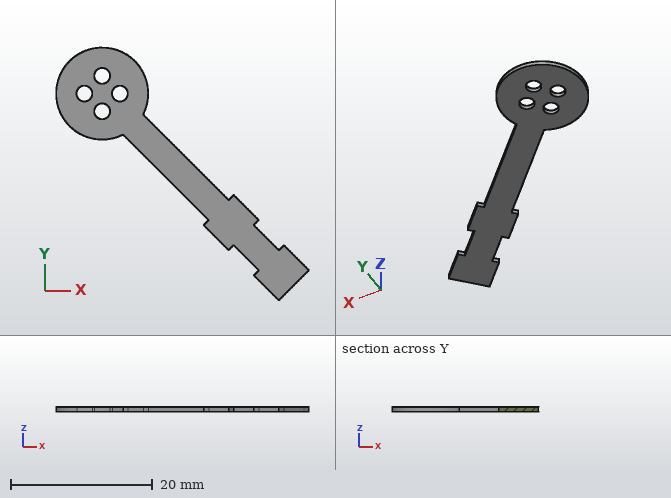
import cadquery as cq
import math

thickness = 0.7
head_diameter = 13.0
head_radius = head_diameter / 2

hole_diameter = 2.2
hole_circle_radius = 2.5
hole_count = 4
first_hole_angle = 45.0

arm_width = 4.0
arm_length = 32.0
arm_angle = -45.0
pad_width = 6.0
pad_length = 5.0
pad_gap = 5.0
tip_setback = 0.003

arm_half = arm_width / 2
pad_half = pad_width / 2
arm_start = math.sqrt(head_radius**2 - arm_half**2)
tip = arm_start + arm_length
tip_pad_start = tip - pad_length
inner_pad_end = tip_pad_start - pad_gap
inner_pad_start = inner_pad_end - pad_length


def make_plate():
    """Head and arm as one outline, with the arm lying along +X."""
    upper_side = [
        (inner_pad_start, arm_half),
        (inner_pad_start, pad_half),
        (inner_pad_end, pad_half),
        (inner_pad_end, arm_half),
        (tip_pad_start, arm_half),
        (tip_pad_start, pad_half),
        (tip, pad_half),
        (tip - tip_setback, arm_half),
    ]
    lower_side = [(x, -y) for x, y in reversed(upper_side)]

    outline = cq.Workplane("XY").moveTo(arm_start, -arm_half)
    outline = outline.threePointArc((-head_radius, 0), (arm_start, arm_half))
    for x, y in upper_side + lower_side:
        outline = outline.lineTo(x, y)
    return outline.close().extrude(thickness)


def make_holes():
    """Through holes spaced evenly around the head centre."""
    return (
        cq.Workplane("XY")
        .polarArray(hole_circle_radius, first_hole_angle, 360, hole_count)
        .circle(hole_diameter / 2)
        .extrude(thickness)
    )


plate = make_plate().cut(make_holes(), clean=False)
result = plate.rotate((0, 0, 0), (0, 0, 1), arm_angle)